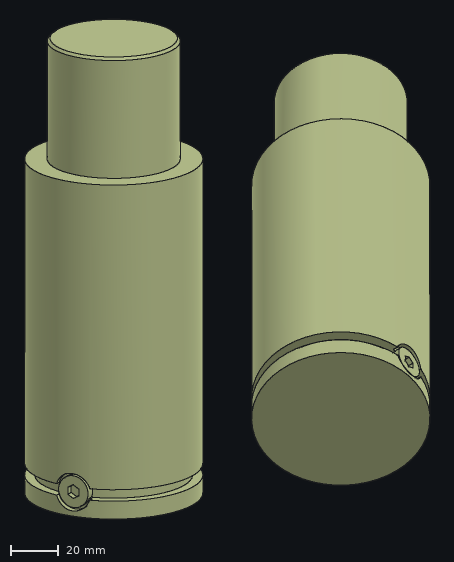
import cadquery as cq

total_height = 200.0
body_radius = 37.5
body_top = 147.0
rod_radius = 28.0
rod_chamfer = 1.2

groove_radius = 33.2
groove_bottom = 8.0
groove_top = 13.0

port_height = 10.5
port_radius = 8.2
port_floor = 34.5
plug_radius = 7.0
plug_root = 30.0
plug_face = 36.5
socket_corner_diameter = 6.0
socket_depth = 3.0


def revolved_body():
    """Cylinder, rod and grooved base as one turned profile."""
    profile = (
        cq.Workplane("XZ")
        .lineTo(body_radius, 0)
        .lineTo(body_radius, groove_bottom)
        .lineTo(groove_radius, groove_bottom)
        .lineTo(groove_radius, groove_top)
        .lineTo(body_radius, groove_top)
        .lineTo(body_radius, body_top)
        .lineTo(rod_radius, body_top)
        .lineTo(rod_radius, total_height - rod_chamfer)
        .lineTo(rod_radius - rod_chamfer, total_height)
        .lineTo(0, total_height)
        .close()
    )
    return profile.revolve(360, (0, 0), (0, 1))


def port_plane(distance):
    """Plane facing -Y, centred on the port at a distance from the axis."""
    return cq.Workplane("XZ", origin=(0, -distance, port_height))


def add_port(body):
    """Cut the round pocket, then add the plug and its hex socket."""
    pocket = port_plane(port_floor).circle(port_radius).extrude(body_radius - port_floor)
    plug = port_plane(plug_root).circle(plug_radius).extrude(plug_face - plug_root)
    socket = (
        port_plane(plug_face)
        .transformed(rotate=(0, 0, 90))
        .polygon(6, socket_corner_diameter)
        .extrude(-socket_depth)
    )
    return body.cut(pocket).union(plug).cut(socket)


result = add_port(revolved_body())